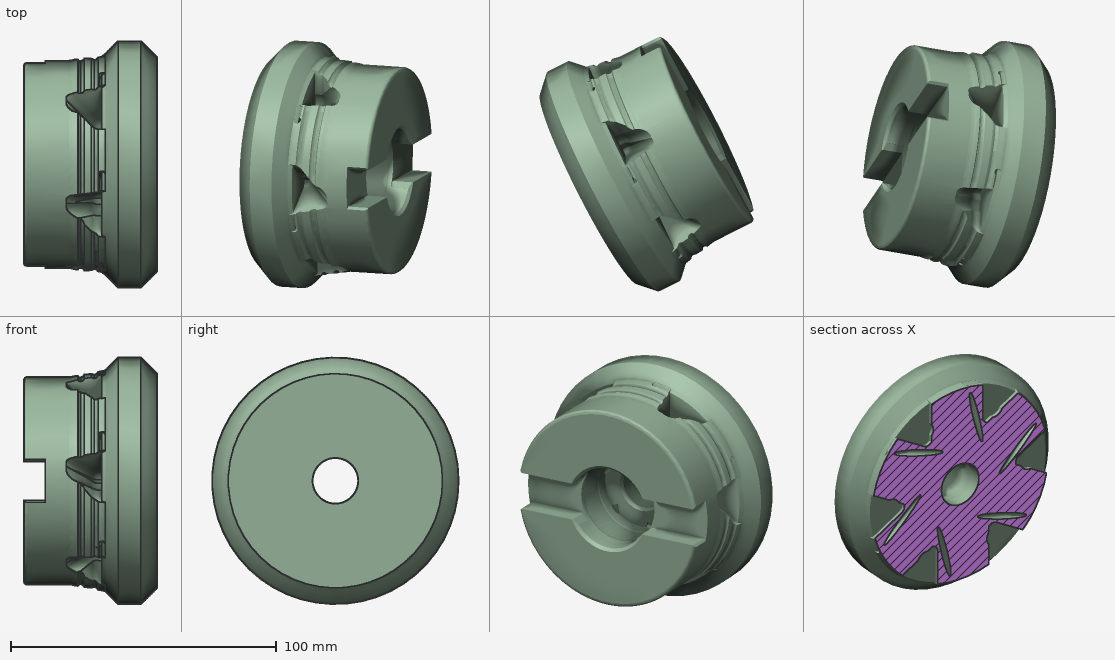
import cadquery as cq
import math

LENGTH = 50.2
HUB_RADIUS = 39.1
HUB_EDGE_FILLET = 1.4
FLANGE_RADIUS = 46.4
FLANGE_START = 29.3
FLANGE_START_RADIUS = 40.6
FLANGE_SEAM = 30.7
FLANGE_SEAM_RADIUS = 41.6
FLANGE_RIM_START = 35.45
FLANGE_RIM_END = 44.1

NECK_START = 17.1
NECK_END = FLANGE_SEAM
NECK_END_RADIUS = FLANGE_SEAM_RADIUS
FIRST_RISE_MIDDLE = (18.1, 39.2)
FIRST_CREST_START = (19.1, 39.4)
FIRST_CREST_END = (20.2, 39.6)
FIRST_VALLEY_START = (20.7, 39.1)
FIRST_VALLEY_END = (21.4, 39.0)
SECOND_RISE_MIDDLE = (22.4, 39.35)
SECOND_CREST_START = (22.8, 40.1)
SECOND_CREST_END = (25.4, 40.3)
SECOND_VALLEY = (26.5, 39.9)
THIRD_RISE_MIDDLE = (27.4, 40.3)
THIRD_CREST_START = (27.9, 41.0)

BORE_RADIUS = 16.0
BORE_DEPTH = 26.0
BORE_CHAMFER = 1.1
RELIEF_START = 9.6
RELIEF_END = 21.3
RELIEF_DEPTH = 0.2
RELIEF_RUN = 0.65
BOLT_RADIUS = 8.5
BOLT_CHAMFER = 1.0

SLOT_HALF_WIDTH = 7.2
SLOT_DEPTH = 8.1
SLOT_INNER_FLARE = 15.1
SLOT_OUTER_FLARE = 37.3
OUTER_FLARE_SIZE = 3.7
INNER_FLARE_SIZE = 2.0

FLUTE_COUNT = 6
FLUTE_WALL_ANCHOR = (29.3, 29.3, 28.8)
FLUTE_RAKE = 30.0
FLUTE_TWIST = 7.0
FLUTE_SIDE_SLOPE = 51.6
FLUTE_CORNER_X = 26.45
FLUTE_FLOOR_DROP = 17.2
FLUTE_REACH = 29.7
FLUTE_HEIGHT = 24.1
FLUTE_FOOT_FILLET = 2.7
FLUTE_CORNER_RADIUS = 2.8

BOUND_SIDE = 13.3
BOUND_CORNER_X = 26.8
BOUND_CORNER_RADIUS = 3.25
BOUND_SIZE = 55.7

SIDE_GROOVE_RADIUS = 4.2
SIDE_GROOVE_OUTER = cq.Vector(18.7, 25.15, 33.9)
SIDE_GROOVE_TURN = cq.Vector(28.2, 16.6, 27.5)
SIDE_GROOVE_REACH = 27.8

DUCT_RADIUS = 1.2
DUCT_INNER_RADIUS = 15.0
DUCT_INNER_ANGLE = 80.0
DUCT_OUTER_RADIUS = 40.8
DUCT_OUTER_ANGLE = 35.5
DUCT_OUTER_X = 29.3
DUCT_OVERRUN = 0.5
OUTLET_GROOVE_RADIUS = 1.0
OUTLET_GROOVE_DISTANCE = 41.6
OUTLET_GROOVE_X = 29.6
OUTLET_GROOVE_END_ANGLE = 44.0


def revolve(profile):
    return profile.close().revolve(360, (0, 0, 0), (1, 0, 0))


def around_axis(solid):
    """Copies of a cutter, one per flute, evenly spaced about the X axis."""
    copies = cq.Workplane("XY")
    for index in range(FLUTE_COUNT):
        copies = copies.add(solid.rotate((0, 0, 0), (1, 0, 0), index * 360 / FLUTE_COUNT))
    return copies.vals()


def polar_point(x, radius, angle):
    """Point at an angle measured from +Y towards +Z."""
    turn = math.radians(angle)
    return cq.Vector(x, radius * math.cos(turn), radius * math.sin(turn))


def hub_and_neck():
    profile = (
        cq.Workplane("XY")
        .moveTo(0, 0)
        .lineTo(0, HUB_RADIUS - HUB_EDGE_FILLET)
        .radiusArc((HUB_EDGE_FILLET, HUB_RADIUS), HUB_EDGE_FILLET)
        .lineTo(NECK_START, HUB_RADIUS)
        .threePointArc(FIRST_RISE_MIDDLE, FIRST_CREST_START)
        .lineTo(*FIRST_CREST_END)
        .lineTo(*FIRST_VALLEY_START)
        .lineTo(*FIRST_VALLEY_END)
        .threePointArc(SECOND_RISE_MIDDLE, SECOND_CREST_START)
        .lineTo(*SECOND_CREST_END)
        .lineTo(*SECOND_VALLEY)
        .threePointArc(THIRD_RISE_MIDDLE, THIRD_CREST_START)
        .lineTo(NECK_END, NECK_END_RADIUS)
        .lineTo(NECK_END, 0)
    )
    return revolve(profile)


def flange():
    end_radius = FLANGE_RADIUS - (LENGTH - FLANGE_RIM_END)
    profile = (
        cq.Workplane("XY")
        .moveTo(FLANGE_START, 0)
        .lineTo(FLANGE_START, FLANGE_START_RADIUS)
        .lineTo(FLANGE_SEAM, FLANGE_SEAM_RADIUS)
        .lineTo(FLANGE_RIM_START, FLANGE_RADIUS)
        .lineTo(FLANGE_RIM_END, FLANGE_RADIUS)
        .lineTo(LENGTH, end_radius)
        .lineTo(LENGTH, 0)
    )
    return revolve(profile)


def stepped_bore():
    relief_radius = BORE_RADIUS + RELIEF_DEPTH
    profile = (
        cq.Workplane("XY")
        .lineTo(0, BORE_RADIUS + BORE_CHAMFER)
        .lineTo(BORE_CHAMFER, BORE_RADIUS)
        .lineTo(RELIEF_START, BORE_RADIUS)
        .lineTo(RELIEF_START + RELIEF_RUN, relief_radius)
        .lineTo(RELIEF_END - RELIEF_RUN, relief_radius)
        .lineTo(RELIEF_END, BORE_RADIUS)
        .lineTo(BORE_DEPTH, BORE_RADIUS)
        .lineTo(BORE_DEPTH, BOLT_RADIUS + BOLT_CHAMFER)
        .lineTo(BORE_DEPTH + BOLT_CHAMFER, BOLT_RADIUS)
        .lineTo(LENGTH, BOLT_RADIUS)
        .lineTo(LENGTH, 0)
    )
    return revolve(profile)


def drive_slot():
    """Slot along Y whose walls flare at 45 degrees into the bore and at the hub's outside."""
    quarter = [
        (SLOT_INNER_FLARE - INNER_FLARE_SIZE, SLOT_HALF_WIDTH + INNER_FLARE_SIZE),
        (SLOT_INNER_FLARE, SLOT_HALF_WIDTH),
        (SLOT_OUTER_FLARE, SLOT_HALF_WIDTH),
        (SLOT_OUTER_FLARE + OUTER_FLARE_SIZE, SLOT_HALF_WIDTH + OUTER_FLARE_SIZE),
    ]
    upper = [(-y, z) for y, z in reversed(quarter)] + quarter
    lower = [(y, -z) for y, z in reversed(upper)]
    return cq.Workplane("YZ").polyline(upper + lower).close().extrude(SLOT_DEPTH)


def flute_pocket():
    """Pocket with a flat raked wall, a sloping side and a rounded foot."""
    anchor_x = FLUTE_WALL_ANCHOR[0]
    corner_x = FLUTE_CORNER_X - anchor_x
    end_x = NECK_END - anchor_x
    top = FLUTE_REACH - FLUTE_FLOOR_DROP
    run = FLUTE_REACH / math.tan(math.radians(FLUTE_SIDE_SLOPE))
    outline = [
        (end_x, -FLUTE_FLOOR_DROP),
        (corner_x, -FLUTE_FLOOR_DROP),
        (corner_x - run, top),
        (end_x, top),
    ]
    pocket = cq.Workplane("XY").polyline(outline).close().extrude(FLUTE_HEIGHT)
    corner = cq.selectors.NearestToPointSelector((corner_x, -FLUTE_FLOOR_DROP, FLUTE_HEIGHT / 2))
    foot = cq.selectors.NearestToPointSelector((corner_x - run / 2, top - FLUTE_REACH / 2, 0))
    pocket = pocket.edges(corner).fillet(FLUTE_CORNER_RADIUS).edges(foot).fillet(FLUTE_FOOT_FILLET)
    return (
        pocket.rotate((0, 0, 0), (0, 1, 0), FLUTE_TWIST)
        .rotate((0, 0, 0), (1, 0, 0), FLUTE_RAKE)
        .translate(FLUTE_WALL_ANCHOR)
    )


def flute_bound():
    """Upright prism with a 45 degree side, outside which the flute does not cut."""
    corner = cq.selectors.NearestToPointSelector((BOUND_CORNER_X, BOUND_SIDE, BOUND_SIZE / 2))
    return (
        cq.Workplane("XY")
        .moveTo(BOUND_SIZE, BOUND_SIDE)
        .lineTo(BOUND_CORNER_X, BOUND_SIDE)
        .lineTo(0, BOUND_SIDE + BOUND_CORNER_X)
        .lineTo(0, BOUND_SIZE)
        .lineTo(BOUND_SIZE, BOUND_SIZE)
        .close()
        .extrude(BOUND_SIZE)
        .edges(corner)
        .fillet(BOUND_CORNER_RADIUS)
    )


def side_groove():
    """Groove that falls along the flute's side, then turns parallel to the X axis."""
    turn = SIDE_GROOVE_TURN
    rising = cq.Solid.makeCylinder(
        SIDE_GROOVE_RADIUS, SIDE_GROOVE_REACH, turn, SIDE_GROOVE_OUTER - turn
    )
    level = cq.Solid.makeCylinder(SIDE_GROOVE_RADIUS, NECK_END - turn.x, turn, cq.Vector(1, 0, 0))
    knuckle = cq.Workplane("XY").sphere(SIDE_GROOVE_RADIUS).translate(turn)
    return knuckle.union(cq.Workplane(rising)).union(cq.Workplane(level))


def coolant_duct():
    inner = polar_point(BORE_DEPTH, DUCT_INNER_RADIUS, DUCT_INNER_ANGLE)
    outer = polar_point(DUCT_OUTER_X, DUCT_OUTER_RADIUS, DUCT_OUTER_ANGLE)
    path = outer - inner
    start = inner - path.normalized() * DUCT_OVERRUN
    return cq.Solid.makeCylinder(DUCT_RADIUS, 2 * path.Length, start, path)


def outlet_groove():
    """Shallow groove along the neck from the duct's outlet to the flute wall."""
    start = polar_point(OUTLET_GROOVE_X, OUTLET_GROOVE_DISTANCE, DUCT_OUTER_ANGLE)
    end = polar_point(OUTLET_GROOVE_X, OUTLET_GROOVE_DISTANCE, OUTLET_GROOVE_END_ANGLE)
    path = end - start
    return cq.Solid.makeCylinder(OUTLET_GROOVE_RADIUS, path.Length, start, path)


flute = flute_pocket().intersect(flute_bound()).union(side_groove()).val()

body = hub_and_neck()
for cutter in around_axis(flute) + around_axis(coolant_duct()) + around_axis(outlet_groove()):
    body = body.cut(cutter)
result = body.union(flange()).cut(stepped_bore()).cut(drive_slot())